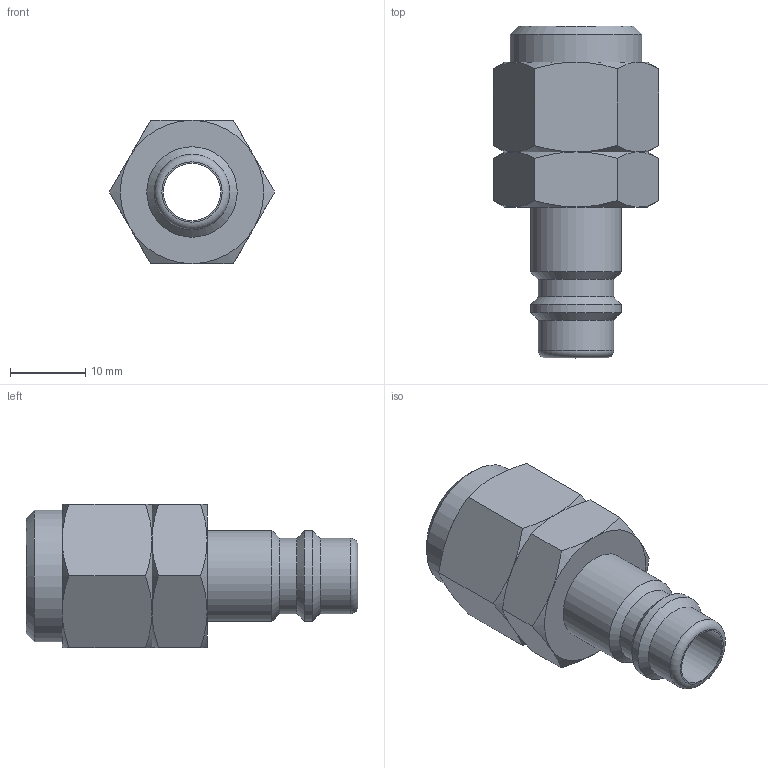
import cadquery as cq
import math


tip_radius = 5.0
shank_radius = 6.0
bore_radius = 3.8
tip_round = 1.0
collar_start = 5.0
collar_slope = shank_radius - tip_radius
collar_land = 1.1
groove_width = 2.3
shank_end = 20.0

hex_sides = 6
across_flats = 19.0
across_corners = across_flats / math.cos(math.pi / hex_sides)
nut_length = 7.3
body_hex_length = 11.9
hex_chamfer_angle = math.radians(30)

end_radius = 8.7
end_chamfer = 1.1
total_length = 44.0

collar_land_start = collar_start + collar_slope
collar_land_end = collar_land_start + collar_land
groove_start = collar_land_end + collar_slope
groove_end = groove_start + groove_width
shank_start = groove_end + collar_slope
nut_end = shank_end + nut_length
body_hex_end = nut_end + body_hex_length


def revolve_about_y(profile):
    """Turn a profile of (radius, Y) points into a full solid of revolution."""
    return profile.close().revolve(360, (0, 0, 0), (0, 1, 0))


def make_nipple():
    """Plug with rounded tip, locking collar and locking groove."""
    rounding_mid = tip_round * math.sin(math.pi / 4)
    profile = (
        cq.Workplane("XY")
        .lineTo(tip_radius - tip_round, 0)
        .threePointArc(
            (tip_radius - tip_round + rounding_mid, tip_round - rounding_mid),
            (tip_radius, tip_round),
        )
        .lineTo(tip_radius, collar_start)
        .lineTo(shank_radius, collar_land_start)
        .lineTo(shank_radius, collar_land_end)
        .lineTo(tip_radius, groove_start)
        .lineTo(tip_radius, groove_end)
        .lineTo(shank_radius, shank_start)
        .lineTo(shank_radius, shank_end)
        .lineTo(0, shank_end)
    )
    return revolve_about_y(profile)


def make_hexagon(start, length):
    """Hexagon with corners on the X axis and its corners chamfered at both ends."""
    flat_radius = across_flats / 2
    corner_radius = across_corners / 2
    chamfer_depth = (corner_radius - flat_radius) * math.tan(hex_chamfer_angle)
    end = start + length
    prism = (
        cq.Workplane("XZ", origin=(0, start, 0))
        .polygon(hex_sides, across_corners)
        .extrude(-length)
    )
    envelope = (
        cq.Workplane("XY")
        .moveTo(0, start)
        .lineTo(flat_radius, start)
        .lineTo(corner_radius, start + chamfer_depth)
        .lineTo(corner_radius, end - chamfer_depth)
        .lineTo(flat_radius, end)
        .lineTo(0, end)
    )
    return prism.intersect(revolve_about_y(envelope))


def make_body_end():
    """Round end of the body with a chamfered rim."""
    return (
        cq.Workplane("XZ", origin=(0, body_hex_end, 0))
        .circle(end_radius)
        .extrude(-(total_length - body_hex_end))
        .faces(">Y")
        .chamfer(end_chamfer)
    )


def make_bore():
    """Through passage along the whole coupling."""
    return cq.Workplane("XZ").circle(bore_radius).extrude(-total_length)


nut = make_hexagon(shank_end, nut_length)
body_hex = make_hexagon(nut_end, body_hex_length)
result = make_nipple().union(nut).union(body_hex).union(make_body_end()).cut(make_bore())